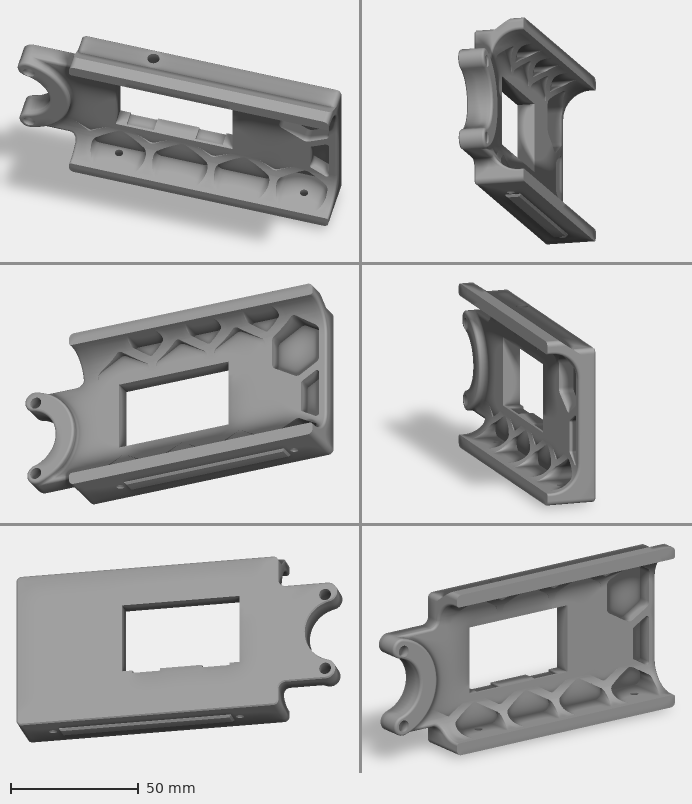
import cadquery as cq
import math


LENGTH = 105.0
DEPTH = 20.0
HEIGHT = 66.0
WEB_THICKNESS = 7.0
FLANGE_THICKNESS = 5.0
COVE_RADIUS = 11.0
BODY_CORNER_RADIUS = 2.0
FRONT_FILLET = 1.0
BACK_CHAMFER = 0.5

SHOULDER_HEIGHT = 62.0
SLOPE_FOOT_Y = -9.0
SLOPE_HEAD_Y = -14.8

LUG_RADIUS = 4.0
UPPER_LUG = (-19.65, 45.3)
LOWER_LUG = (-18.87, 13.33)
LUG_HOLE_DIAMETER = 4.7
LUG_HOLE_X = LOWER_LUG[0]
LUG_HOLE_Z = (13.4, 44.2)
ARM_MEAN_RADIUS = 16.43
ARM_DEPTH = 10.5
NECK_FILLET = 3.0

WINDOW_LEFT = 15.35
WINDOW_WIDTH = 47.25
WINDOW_BOTTOM = 19.0
WINDOW_HEIGHT = 27.5
NOTCH_WIDTH = 11.0
NOTCH_INSET = 4.2
NOTCH_DROP = 1.0
NOTCH_LIP = 1.0

HEX_WIDTH = 22.0
HEX_PITCH = 25.0
HEX_FIRST_X = 17.5
HEX_UPPER_ROW_Z = 46.25
HEX_COLUMNS = 4
HEX_RIGHT_LIMIT = 101.8
HEX_CORNER_RADIUS = 2.5
HEX_CLIPPED_RADIUS = 1.1
DEEP_POCKET_FLOOR = 1.0

CABLE_HOLE_DIAMETER = 4.7
CABLE_HOLE_X = 29.9
CABLE_HOLE_Y = -4.25
CABLE_HOLE_DEPTH = 10.0
FLANGE_HOLE_DIAMETER = 3.2
PAD_Y = -10.0
PAD_LENGTH = 69.0
PAD_WIDTH = 6.2
PAD_HEIGHT = 1.0
PAD_CHAMFER = 0.7

COVE_TOP_Z = HEIGHT - FLANGE_THICKNESS
COVE_CENTER_Y = -(WEB_THICKNESS + COVE_RADIUS)
LOWER_COVE_Z = FLANGE_THICKNESS + COVE_RADIUS
UPPER_COVE_Z = COVE_TOP_Z - COVE_RADIUS
NECK_TOP = UPPER_LUG[1] + LUG_RADIUS
NECK_BOTTOM = LOWER_LUG[1] - LUG_RADIUS
HEX_ROW_STEP = HEX_PITCH * math.sin(math.radians(60))
HEX_LAST_X = HEX_FIRST_X + (HEX_COLUMNS - 1) * HEX_PITCH
TOLERANCE = 0.01


def arm_center():
    """Center of the arm arcs: equally far from both lug centers, on their left."""
    dx = UPPER_LUG[0] - LOWER_LUG[0]
    dz = UPPER_LUG[1] - LOWER_LUG[1]
    spacing = math.hypot(dx, dz)
    offset = math.sqrt(ARM_MEAN_RADIUS**2 - (spacing / 2) ** 2)
    mid_x = (UPPER_LUG[0] + LOWER_LUG[0]) / 2
    mid_z = (UPPER_LUG[1] + LOWER_LUG[1]) / 2
    return mid_x - offset * dz / spacing, mid_z + offset * dx / spacing


ARM_X, ARM_Z = arm_center()


def front_plane(y=0.0):
    """XZ workplane at the given Y; extruding from it goes toward -Y."""
    return cq.Workplane("XZ", origin=(0, y, 0))


def channel():
    """C-shaped cross-section with coved inner corners, run along X."""
    start_x = UPPER_LUG[0]
    diagonal = COVE_RADIUS * math.sqrt(0.5)
    return (
        cq.Workplane("YZ", origin=(start_x, 0, 0))
        .moveTo(0, 0)
        .lineTo(-DEPTH, 0)
        .lineTo(-DEPTH, FLANGE_THICKNESS)
        .lineTo(COVE_CENTER_Y, FLANGE_THICKNESS)
        .threePointArc(
            (COVE_CENTER_Y + diagonal, LOWER_COVE_Z - diagonal), (-WEB_THICKNESS, LOWER_COVE_Z)
        )
        .lineTo(-WEB_THICKNESS, UPPER_COVE_Z)
        .threePointArc(
            (COVE_CENTER_Y + diagonal, UPPER_COVE_Z + diagonal), (COVE_CENTER_Y, COVE_TOP_Z)
        )
        .lineTo(-DEPTH, COVE_TOP_Z)
        .lineTo(-DEPTH, HEIGHT)
        .lineTo(0, HEIGHT)
        .close()
        .extrude(LENGTH - start_x)
    )


def rounded_block(height):
    """Full-depth block of the given height with its corners rounded."""
    return (
        front_plane()
        .rect(LENGTH, height, centered=False)
        .extrude(DEPTH)
        .edges("|Y")
        .fillet(BODY_CORNER_RADIUS)
    )


def outline():
    """Front outline of body and neck, extruded to full depth."""
    neck = (
        front_plane()
        .moveTo(LOWER_LUG[0], NECK_BOTTOM)
        .lineTo(BODY_CORNER_RADIUS, NECK_BOTTOM)
        .lineTo(BODY_CORNER_RADIUS, NECK_TOP)
        .lineTo(UPPER_LUG[0], NECK_TOP)
        .close()
        .extrude(DEPTH)
    )
    joined = rounded_block(HEIGHT).union(neck)
    for z in (NECK_BOTTOM, NECK_TOP):
        corner = cq.selectors.BoxSelector(
            (-TOLERANCE, -DEPTH, z - TOLERANCE), (TOLERANCE, 0, z + TOLERANCE)
        )
        joined = joined.edges("|Y").edges(corner).fillet(NECK_FILLET)
    return joined


def shoulder_relief():
    """Material removed behind the sloped plane to lower the back of the top flange."""
    slope = (HEIGHT - SHOULDER_HEIGHT) / (SLOPE_FOOT_Y - SLOPE_HEAD_Y)
    low_z = SHOULDER_HEIGHT - 2 * BODY_CORNER_RADIUS
    low_y = SLOPE_FOOT_Y + (SHOULDER_HEIGHT - low_z) / slope
    wedge = (
        cq.Workplane("YZ")
        .moveTo(0, low_z)
        .lineTo(low_y, low_z)
        .lineTo(SLOPE_HEAD_Y, HEIGHT)
        .lineTo(0, HEIGHT)
        .close()
        .extrude(LENGTH)
    )
    return wedge.cut(rounded_block(SHOULDER_HEIGHT))


def is_front_rim(edge):
    """True for edges where the coved front surface meets the side outline."""
    center = edge.Center()
    in_depth = -DEPTH + TOLERANCE < center.y < -WEB_THICKNESS + TOLERANCE
    in_height = FLANGE_THICKNESS - TOLERANCE < center.z < COVE_TOP_Z + TOLERANCE
    cove_ends = (FLANGE_THICKNESS, LOWER_COVE_Z, UPPER_COVE_Z, COVE_TOP_Z)
    at_cove_end = any(abs(center.z - z) < TOLERANCE for z in cove_ends)
    is_cove_seam = at_cove_end and edge.BoundingBox().xlen > TOLERANCE
    at_neck_end = center.x < LOWER_LUG[0]
    return in_depth and in_height and not is_cove_seam and not at_neck_end


def body():
    """Coved plate with neck, rounded front rim and lowered shoulder."""
    solid = outline().intersect(channel())
    rim = [edge for edge in solid.edges().vals() if is_front_rim(edge)]
    solid = solid.newObject(rim).fillet(FRONT_FILLET)
    return solid.cut(shoulder_relief())


def arm_point(lug, radius):
    """Point at the given radius from the arm center, on the ray through a lug center."""
    scale = radius / ARM_MEAN_RADIUS
    return ARM_X + (lug[0] - ARM_X) * scale, ARM_Z + (lug[1] - ARM_Z) * scale


def lug_tip(lug, side):
    """Far point of a lug's rounded end; side is +1 for the upper lug, -1 for the lower."""
    ux = (lug[0] - ARM_X) / ARM_MEAN_RADIUS
    uz = (lug[1] - ARM_Z) / ARM_MEAN_RADIUS
    return lug[0] - side * LUG_RADIUS * uz, lug[1] + side * LUG_RADIUS * ux


def arm():
    """Curved arm with rounded lug ends and a rounded front rim."""
    outer = ARM_MEAN_RADIUS + LUG_RADIUS
    inner = ARM_MEAN_RADIUS - LUG_RADIUS
    return (
        front_plane()
        .moveTo(*arm_point(LOWER_LUG, outer))
        .threePointArc((ARM_X + outer, ARM_Z), arm_point(UPPER_LUG, outer))
        .threePointArc(lug_tip(UPPER_LUG, 1), arm_point(UPPER_LUG, inner))
        .threePointArc((ARM_X + inner, ARM_Z), arm_point(LOWER_LUG, inner))
        .threePointArc(lug_tip(LOWER_LUG, -1), arm_point(LOWER_LUG, outer))
        .close()
        .extrude(ARM_DEPTH)
        .faces("<Y")
        .fillet(FRONT_FILLET)
    )


def arm_opening():
    """Round clearance inside the arm."""
    return front_plane().center(ARM_X, ARM_Z).circle(ARM_MEAN_RADIUS - LUG_RADIUS).extrude(DEPTH)


def hex_pocket(x, z, floor_y, corner_radius=HEX_CORNER_RADIUS):
    """Rounded hexagonal prism, kept between the flanges and left of the end wall."""
    limits = (
        front_plane(floor_y)
        .moveTo(LOWER_LUG[0], FLANGE_THICKNESS)
        .lineTo(HEX_RIGHT_LIMIT, FLANGE_THICKNESS)
        .lineTo(HEX_RIGHT_LIMIT, COVE_TOP_Z)
        .lineTo(LOWER_LUG[0], COVE_TOP_Z)
        .close()
        .extrude(DEPTH)
    )
    across_corners = HEX_WIDTH / math.cos(math.radians(30))
    prism = (
        front_plane(floor_y)
        .center(x, z)
        .transformed(rotate=(0, 0, 90))
        .polygon(6, across_corners)
        .extrude(DEPTH)
    )
    return prism.intersect(limits).edges("|Y").fillet(corner_radius)


def honeycomb():
    """Four staggered rows of pockets, most down to the web, the three rightmost nearly through it."""
    web_floor = -WEB_THICKNESS
    deep_floor = -DEEP_POCKET_FLOOR
    lower_row_z = HEX_UPPER_ROW_Z - 2 * HEX_ROW_STEP
    middle_row_z = HEX_UPPER_ROW_Z - HEX_ROW_STEP
    top_row_z = HEX_UPPER_ROW_Z + HEX_ROW_STEP
    pockets = [
        hex_pocket(HEX_LAST_X, HEX_UPPER_ROW_Z, deep_floor),
        hex_pocket(HEX_LAST_X + HEX_PITCH / 2, middle_row_z, deep_floor, HEX_CLIPPED_RADIUS),
        hex_pocket(HEX_LAST_X, lower_row_z, deep_floor),
        hex_pocket(HEX_FIRST_X - HEX_PITCH / 2, middle_row_z, web_floor, HEX_CLIPPED_RADIUS),
    ]
    for column in range(HEX_COLUMNS - 1):
        x = HEX_FIRST_X + column * HEX_PITCH
        between_x = x + HEX_PITCH / 2
        pockets.append(hex_pocket(x, HEX_UPPER_ROW_Z, web_floor))
        pockets.append(hex_pocket(x, lower_row_z, web_floor))
        pockets.append(hex_pocket(between_x, middle_row_z, web_floor))
        pockets.append(hex_pocket(between_x, top_row_z, web_floor, HEX_CLIPPED_RADIUS))
    return pockets


def window():
    """Rectangular opening with two notches in its lower edge behind a thin front lip."""
    opening = (
        front_plane()
        .center(WINDOW_LEFT, WINDOW_BOTTOM)
        .rect(WINDOW_WIDTH, WINDOW_HEIGHT, centered=False)
        .extrude(DEPTH)
    )
    left_notch_x = WINDOW_LEFT + NOTCH_INSET
    right_notch_x = WINDOW_LEFT + WINDOW_WIDTH - NOTCH_INSET - NOTCH_WIDTH
    for x in (left_notch_x, right_notch_x):
        notch = (
            front_plane()
            .center(x, WINDOW_BOTTOM - NOTCH_DROP)
            .rect(NOTCH_WIDTH, 2 * NOTCH_DROP, centered=False)
            .extrude(WEB_THICKNESS - NOTCH_LIP)
        )
        opening = opening.union(notch)
    return opening


def lug_holes():
    """Screw holes through both lugs."""
    centers = [(LUG_HOLE_X, z) for z in LUG_HOLE_Z]
    return front_plane().pushPoints(centers).circle(LUG_HOLE_DIAMETER / 2).extrude(DEPTH)


def cable_hole():
    """Vertical blind hole in the shoulder of the top flange."""
    return (
        cq.Workplane("XY", origin=(CABLE_HOLE_X, CABLE_HOLE_Y, SHOULDER_HEIGHT))
        .circle(CABLE_HOLE_DIAMETER / 2)
        .extrude(-CABLE_HOLE_DEPTH)
    )


def flange_holes():
    """Vertical holes through the bottom flange, centered in the first and last pockets."""
    return (
        cq.Workplane("XY", origin=(0, PAD_Y, -PAD_HEIGHT))
        .pushPoints([(HEX_FIRST_X, 0), (HEX_LAST_X, 0)])
        .circle(FLANGE_HOLE_DIAMETER / 2)
        .extrude(PAD_HEIGHT + FLANGE_THICKNESS)
    )


def pad():
    """Low chamfered pad under the bottom flange, midway between the flange holes."""
    return (
        cq.Workplane("XY", origin=((HEX_FIRST_X + HEX_LAST_X) / 2, PAD_Y, 0))
        .rect(PAD_LENGTH, PAD_WIDTH)
        .extrude(-PAD_HEIGHT)
        .faces("<Z")
        .chamfer(PAD_CHAMFER)
    )


def is_arm_foot(edge):
    """True for edges where the outer wall of the arm meets the front of the neck."""
    outer = ARM_MEAN_RADIUS + LUG_RADIUS
    middle = edge.positionAt(0.5)
    on_wall = abs(math.hypot(middle.x - ARM_X, middle.z - ARM_Z) - outer) < TOLERANCE
    front_limit = -ARM_DEPTH + FRONT_FILLET + TOLERANCE
    on_neck_front = front_limit < middle.y < -WEB_THICKNESS + TOLERANCE
    return on_wall and on_neck_front


result = body()
for pocket in honeycomb():
    result = result.cut(pocket)
result = result.union(arm()).cut(arm_opening())
foot = [edge for edge in result.edges().vals() if is_arm_foot(edge)]
result = result.newObject(foot).fillet(FRONT_FILLET)
result = result.faces(">Y").chamfer(BACK_CHAMFER)
result = result.cut(window()).cut(lug_holes()).cut(cable_hole())
result = result.union(pad()).cut(flange_holes())